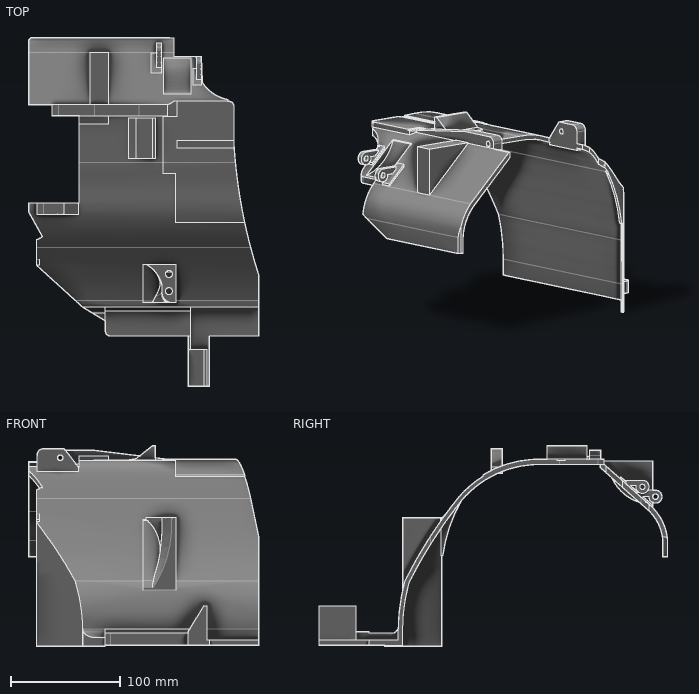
import cadquery as cq
import math


LENGTH = 210.52
DEPTH = 319.1
HEIGHT = 183.6
FAR = 400.0

SHELL_THICKNESS = 4.0
CROWN_Z = 170.3
CROWN_FRONT_Y = 205.0
ARCH_MID = (162.0, 162.0)
ARCH_KNEE = (127.0, 135.5)
LEG_UPPER_MID = (100.8, 98.8)
LEG_KNEE = (78.8, 60.0)
LEG_LOWER_MID = (74.2, 38.0)
FOOT_Y = 72.6
LEG_END_Z = 16.0
FOOT_Z = 1.0
SHELL_REAR_Y = 261.0
SIDE_X = 7.0
PANEL_Y = 111.0
PANEL_FOOT = (49.5, 72.4)
SHOULDER_X = 70.0
OPENING_X = 46.0
OPENING_FRONT_Y = 168.0
RAIL_FRONT_Y = 247.5
RAIL_REAR_Y = 258.0

FLAP_THICKNESS = 4.5
FLAP_FRONT_Y = 257.3
FLAP_TOP = (258.0, 169.2)
FLAP_BEND = (305.5, 127.0)
FLAP_ARC_MID = (315.5, 112.0)
FLAP_LOWER_Z = 97.0
FLAP_BOTTOM_Z = 82.0
FLAP_END_X = 133.0
FLAP_CHAMFER = 2.0
FLAP_INNER_ARC_MID = (311.5, 110.0)
FLAP_INNER_BEND = (302.5, 123.5)
FLAP_INNER_TOP = (255.0, 165.8)

PIN_HOLE = 4.8
SCREW_HOLE = 6.4
SCREW_DEPTH = 12.0


def box(x0, x1, y0, y1, z0, z1):
    """Box between two limits on each axis."""
    return cq.Workplane("XY").box(x1 - x0, y1 - y0, z1 - z0, centered=False).translate((x0, y0, z0))


def prism_x(outline, x0, x1):
    """Extrude a YZ outline from x0 to x1."""
    return outline.extrude(x1 - x0).translate((x0, 0, 0))


def polygon_prism_x(points, x0, x1):
    return prism_x(cq.Workplane("YZ").polyline(points).close(), x0, x1)


def polygon_prism_y(points, y0, y1):
    """Extrude an XZ outline from y0 to y1."""
    return cq.Workplane("XZ", origin=(0, y1, 0)).polyline(points).close().extrude(y1 - y0)


def pin_x(x0, x1, y, z, diameter):
    return cq.Workplane("YZ", origin=(x0, y, z)).circle(diameter / 2).extrude(x1 - x0)


def pin_y(y0, y1, x, z, diameter):
    return cq.Workplane("XZ", origin=(x, y1, z)).circle(diameter / 2).extrude(y1 - y0)


def arch_body(offset=0.0):
    """Everything under the arch surface moved outward by `offset`."""
    outline = (
        cq.Workplane("YZ")
        .moveTo(FAR, CROWN_Z)
        .lineTo(CROWN_FRONT_Y, CROWN_Z)
        .threePointArc(ARCH_MID, ARCH_KNEE)
        .threePointArc(LEG_UPPER_MID, LEG_KNEE)
        .threePointArc(LEG_LOWER_MID, (FOOT_Y, LEG_END_Z))
        .lineTo(FOOT_Y, -FAR)
        .lineTo(FAR, -FAR)
        .close()
    )
    if offset:
        outline = outline.offset2D(offset, "intersection")
    return prism_x(outline, 0, LENGTH)


def shell_plan():
    """Trimmed outline of the shell, as a tall prism."""
    return (
        cq.Workplane("XY", origin=(0, 0, FOOT_Z))
        .moveTo(OPENING_X, OPENING_FRONT_Y)
        .lineTo(0, OPENING_FRONT_Y)
        .lineTo(0, 159.5)
        .lineTo(12.5, 137)
        .lineTo(SIDE_X, 134)
        .lineTo(SIDE_X, PANEL_Y)
        .lineTo(*PANEL_FOOT)
        .lineTo(LENGTH, PANEL_FOOT[1])
        .lineTo(LENGTH, 102)
        .threePointArc((199.5, 142), (188, 220))
        .lineTo(188, 255.5)
        .threePointArc((186.5, 259.5), (182.5, SHELL_REAR_Y))
        .lineTo(FLAP_END_X, SHELL_REAR_Y)
        .lineTo(FLAP_END_X - 5, RAIL_REAR_Y)
        .lineTo(OPENING_X, RAIL_REAR_Y)
        .close()
        .extrude(FAR)
    )


def shell():
    return arch_body().cut(arch_body(-SHELL_THICKNESS)).intersect(shell_plan())


PATCH_RISE = 1.0
REAR_PATCH = (135.5, LENGTH, 225, SHELL_REAR_Y)
MIDDLE_PATCH = (134.5, LENGTH, 150, 218)
SIDE_PATCH = (123, 135.5, 195, 247)
BRACKET_PAD_RISE = 0.5


def raised_patch(rise, x0, x1, y0, y1, z0=FOOT_Z, z1=FAR):
    """Area of the shell raised by `rise`."""
    skin = arch_body(rise).cut(arch_body(-SHELL_THICKNESS / 2))
    return skin.intersect(shell_plan()).intersect(box(x0, x1, y0, y1, z0, z1))


def side_panel():
    """Upright wall below the slanted left edge of the shell, with a gusset at its rear."""
    wall = 2.0
    gusset_thickness = 3.0
    panel = (
        cq.Workplane("XY")
        .polyline([
            (SIDE_X, PANEL_Y),
            PANEL_FOOT,
            (PANEL_FOOT[0] + wall, PANEL_FOOT[1] + 1),
            (SIDE_X + wall, PANEL_Y + 1.5),
            (SIDE_X, PANEL_Y + 1.5),
        ])
        .close()
        .extrude(FAR)
    )
    panel = panel.intersect(arch_body())
    gusset = prism_x(
        cq.Workplane("YZ")
        .moveTo(134.5, 140)
        .threePointArc((121, 113), (113.5, 83))
        .lineTo(PANEL_Y, 83)
        .lineTo(PANEL_Y, 116)
        .close(),
        SIDE_X,
        SIDE_X + gusset_thickness,
    )
    return panel.union(gusset)


def panel_toe():
    """Corner that leads the side panel into the foot flange, coved along its top."""
    toe_z = 8.2
    toe_y = 60.0
    profile = prism_x(
        cq.Workplane("YZ")
        .moveTo(toe_y, 0)
        .lineTo(toe_y, toe_z)
        .lineTo(67, toe_z)
        .threePointArc((70.8, 10.8), (FOOT_Y, LEG_END_Z))
        .lineTo(FOOT_Y + 1, LEG_END_Z)
        .lineTo(FOOT_Y + 1, 0)
        .close(),
        0,
        LENGTH,
    )
    plan = (
        cq.Workplane("XY")
        .polyline([PANEL_FOOT, (SHOULDER_X, toe_y), (SHOULDER_X, FOOT_Y + 1), (PANEL_FOOT[0], FOOT_Y + 1)])
        .close()
        .extrude(FAR)
    )
    return profile.intersect(plan)


def foot():
    """Flange along the foot, with a tongue that carries a ramped block."""
    front_y = 46.0
    corner_radius = 5.0
    flange_z = 12.3
    wall_x = (145.8, 148.0)
    tongue_x = 165.4
    plate_z = 5.7
    wall_z = 13.6
    block_y = 34.0
    block_z = 37.2
    block_right_x = 163.3
    flange = box(SHOULDER_X, wall_x[1], front_y, FOOT_Y, FOOT_Z, flange_z)
    flange = flange.edges("|Z and <X and <Y").fillet(corner_radius)
    root = polygon_prism_x(
        [(FOOT_Y, flange_z), (69, flange_z), (FOOT_Y, LEG_END_Z)], SHOULDER_X, wall_x[1]
    )
    plate = box(wall_x[0], LENGTH, front_y, FOOT_Y, FOOT_Z, plate_z)
    tongue = box(wall_x[0], tongue_x, 0, front_y, FOOT_Z, plate_z)
    wall = box(*wall_x, 0, front_y, FOOT_Z, wall_z)
    block = polygon_prism_y(
        [
            (wall_x[0], FOOT_Z), (wall_x[0], wall_z), (block_right_x - 3, block_z),
            (block_right_x, block_z), (block_right_x, FOOT_Z),
        ],
        0,
        block_y,
    )
    return flange.union(root).union(plate).union(tongue).union(wall).union(block)


def flap():
    outline = (
        cq.Workplane("YZ")
        .moveTo(*FLAP_TOP)
        .lineTo(*FLAP_BEND)
        .threePointArc(FLAP_ARC_MID, (DEPTH, FLAP_LOWER_Z))
        .lineTo(DEPTH, FLAP_BOTTOM_Z)
        .lineTo(DEPTH - FLAP_THICKNESS, FLAP_BOTTOM_Z)
        .lineTo(DEPTH - FLAP_THICKNESS, FLAP_LOWER_Z)
        .threePointArc(FLAP_INNER_ARC_MID, FLAP_INNER_BEND)
        .lineTo(*FLAP_INNER_TOP)
        .close()
    )
    plan = (
        cq.Workplane("XY")
        .moveTo(0, FLAP_FRONT_Y)
        .lineTo(0, DEPTH - FLAP_CHAMFER)
        .lineTo(FLAP_CHAMFER, DEPTH)
        .lineTo(FLAP_END_X, DEPTH)
        .lineTo(FLAP_END_X, 302)
        .lineTo(151, 302)
        .threePointArc((156.2, 299.8), (158.4, 294.5))
        .lineTo(159, 278)
        .threePointArc((165, 271), (182.5, 262.5))
        .lineTo(182.5, FLAP_FRONT_Y)
        .close()
        .extrude(FAR)
    )
    corner = polygon_prism_y(
        [(98, FLAP_BOTTOM_Z - 1), (FLAP_END_X, 100), (FLAP_END_X, FLAP_BOTTOM_Z - 1)], 300, DEPTH + 1
    )
    return prism_x(outline, 0, LENGTH).intersect(plan).cut(corner)


POCKET_X = (122.0, 150.0)
POCKET_WALL = 1.5
POCKET_REAR = (302.0, 130.0)
POCKET_LOW = (278.5, 140.0)
POCKET_FRONT = (266.0, 160.0)


def pocket_shape(x0, x1, inset):
    """Round-bottomed trough; it is open upward when it is inset to form the cavity."""
    outline = (
        cq.Workplane("YZ")
        .moveTo(POCKET_REAR[0] - inset, POCKET_REAR[1] + inset)
        .threePointArc(
            (POCKET_LOW[0] + inset, POCKET_LOW[1] + inset), (POCKET_FRONT[0] + inset, POCKET_FRONT[1])
        )
    )
    if inset:
        outline = outline.lineTo(POCKET_FRONT[0] + inset, HEIGHT).lineTo(POCKET_REAR[0] - inset, HEIGHT)
    return prism_x(outline.close(), x0, x1)


def flap_gusset():
    """Triangular block on the sloping part of the flap."""
    top_z = 169.8
    gusset_x = (56.3, 72.8)
    return polygon_prism_x(
        [(FLAP_TOP[0], top_z), (FLAP_BEND[0], top_z), FLAP_BEND, (302, 127), (255, 168)], *gusset_x
    )


def lug(x0, x1, y, z, root_y, root_z):
    """Hinge lug: a rounded ear with a pin hole, rooted in the flap."""
    radius = 6.0
    ear = pin_x(x0, x1, y, z, 2 * radius)
    arm = polygon_prism_x(
        [(y, z + radius), (root_y, z + radius), (root_y, root_z), (y - 2, root_z), (y + 3, z - radius + 1)],
        x0,
        x1,
    )
    return ear.union(arm).cut(pin_x(x0 - 1, x1 + 1, y, z, PIN_HOLE))


def lug_pad(x0, x1, front_y, rear_y):
    """Thin pad on the slope of the flap that carries a lug."""
    slope = (FLAP_BEND[1] - FLAP_TOP[1]) / (FLAP_BEND[0] - FLAP_TOP[0])
    front_z = FLAP_TOP[1] + slope * (front_y - FLAP_TOP[0])
    rear_z = FLAP_TOP[1] + slope * (rear_y - FLAP_TOP[0])
    rise = 2.0
    return polygon_prism_x(
        [
            (front_y, front_z + rise), (rear_y, rear_z + rise),
            (rear_y, rear_z - rise), (front_y, front_z - rise),
        ],
        x0,
        x1,
    )


def outer_lug():
    """Lug near the rear edge of the flap, with its pad."""
    right_x = 121.3
    ear = lug(117, right_x, y=308, z=137, root_y=292, root_z=137)
    return ear.union(lug_pad(111.7, right_x, front_y=287, rear_y=305))


def inner_lug():
    """Lug higher up the flap, beyond the pocket, with its pad."""
    right_x = 158.0
    ear = lug(153.5, right_x, y=296, z=146, root_y=281, root_z=147)
    return ear.union(lug_pad(150.5, right_x, front_y=276, rear_y=291))


PIN_X = 28.9
PIN_Z = 172.6
EAR_RADIUS = 6.0


def rail():
    """Rib along the rear of the opening, tapering down toward +X."""
    left_x = 21.3
    top_z = 179.5
    end_x = 127.0
    body = polygon_prism_y(
        [
            (left_x, 167), (left_x, top_z), (60, top_z), (101, 174.5), (end_x, CROWN_Z + 1),
            (end_x, 167),
        ],
        RAIL_FRONT_Y,
        RAIL_REAR_Y,
    )
    body = body.edges("|Y and <X and >Z").fillet(EAR_RADIUS)
    return body.cut(pin_y(RAIL_FRONT_Y - 1, RAIL_REAR_Y + 1, PIN_X, PIN_Z, PIN_HOLE))


def rail_cove():
    """Sloping web between the rail and the shell at the edge of the opening."""
    return polygon_prism_x(
        [(RAIL_FRONT_Y, CROWN_Z + 4), (RAIL_FRONT_Y, CROWN_Z - 2), (240, CROWN_Z - 2), (240, CROWN_Z)],
        OPENING_X,
        73,
    )


def tab():
    """Upright ear at the front of the opening."""
    front_y = 157.5
    tab_x = 7.6
    top_z = 181
    ear = polygon_prism_y(
        [(tab_x, 158), (tab_x, top_z), (32.5, top_z), (45.5, 164), (45.5, 158)], front_y, OPENING_FRONT_Y
    )
    ear = ear.edges("|Y and <X and >Z").fillet(EAR_RADIUS)
    return ear.cut(pin_y(front_y - 1, OPENING_FRONT_Y + 1, PIN_X, PIN_Z, PIN_HOLE))


def crown_wedge():
    """Ramped stop on the crown."""
    crest_x = (113.2, 116.0)
    wedge_y = (208.5, 245.5)
    return polygon_prism_y(
        [
            (91.5, CROWN_Z - 2), (91.5, CROWN_Z + 0.4), (98.2, CROWN_Z + 1.5), (crest_x[0], HEIGHT),
            (crest_x[1], HEIGHT), (crest_x[1], CROWN_Z - 2),
        ],
        *wedge_y,
    )


BRACKET_X = (104.6, 134.8)
BRACKET_Y = (76.7, 111.7)
BRACKET_Z = (50.2, 117.9)


def bracket():
    """Screw bracket on the leg, scooped out on its left side down to a point."""
    block = box(*BRACKET_X, *BRACKET_Y, *BRACKET_Z).cut(arch_body(-SHELL_THICKNESS / 2))
    levels = [
        (BRACKET_Z[1] + 1, 130.5, 8.5),
        (98, 130, 8.5),
        (75, 124.5, 6.5),
        (BRACKET_Z[0] - 1, 110.5, 3),
    ]
    front_y = BRACKET_Y[0]
    clear_y = front_y - 1
    rear_y = BRACKET_Y[1] + 1
    waist_y = 93.0
    hollow_y = 103.0
    left_x = BRACKET_X[0] - 5
    rear_x = BRACKET_X[0] + 0.8
    bend = 1 - math.sqrt(0.5)
    wires = []
    for z, front_x, radius in levels:
        side_x = front_x - radius
        section = (
            cq.Workplane("XY", origin=(0, 0, z))
            .moveTo(left_x, rear_y)
            .lineTo(rear_x, rear_y)
            .threePointArc((rear_x + 0.72 * (side_x - rear_x), hollow_y), (side_x, waist_y))
            .lineTo(side_x, front_y + radius)
            .threePointArc((side_x + bend * radius, front_y + bend * radius), (front_x, front_y))
            .lineTo(front_x, clear_y)
            .lineTo(left_x, clear_y)
            .close()
        )
        wires.append(section.val())
    scoop = cq.Workplane(cq.Solid.makeLoft(wires, False))
    block = block.cut(scoop)
    screw_x = 128.3
    for screw_y in (87.2, 102.9):
        mouth = cq.Workplane("XY", origin=(screw_x, screw_y, BRACKET_Z[1]))
        hole = mouth.circle(SCREW_HOLE / 2).extrude(-SCREW_DEPTH)
        block = block.cut(hole)
    return block


result = shell()
for addition in (
    raised_patch(PATCH_RISE, *REAR_PATCH),
    raised_patch(PATCH_RISE, *MIDDLE_PATCH),
    raised_patch(PATCH_RISE, *SIDE_PATCH),
    raised_patch(BRACKET_PAD_RISE, *BRACKET_X, *BRACKET_Y, *BRACKET_Z),
    side_panel(),
    panel_toe(),
    foot(),
    flap(),
    flap_gusset(),
    pocket_shape(*POCKET_X, 0),
    rail(),
    rail_cove(),
    tab(),
    crown_wedge(),
    bracket(),
    outer_lug(),
    inner_lug(),
):
    result = result.union(addition)
result = result.cut(pocket_shape(POCKET_X[0] + POCKET_WALL, POCKET_X[1] - POCKET_WALL, POCKET_WALL))